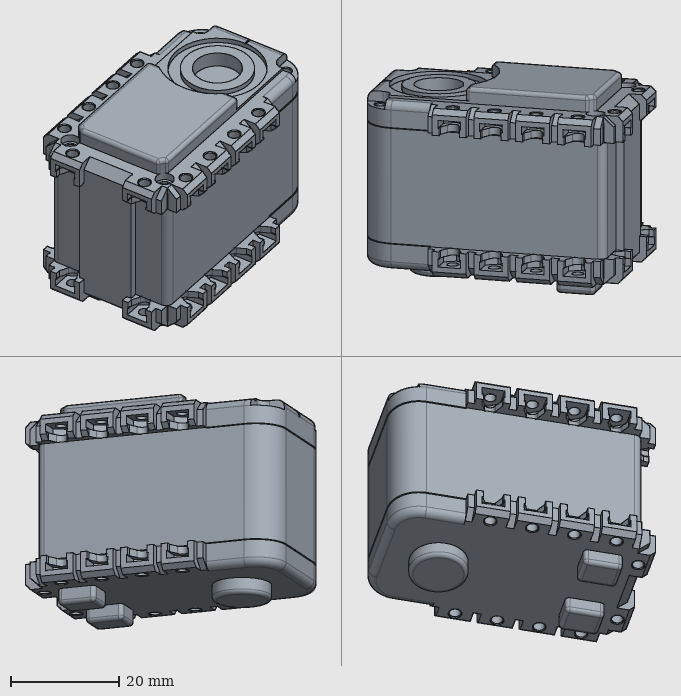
import cadquery as cq
import math


HALF_WIDTH = 13.0
BACK_Y = 11.5
FRONT_WALL_Y = -35.6
BACK_CORNER_R = 6.0
FRONT_CORNER_R = 1.5
COVER_EDGE_R = 1.5
COVER_Z = 16.0
COVER_INNER_Z = 11.1
SEAM_HEIGHT = 0.1
SEAM_DEPTH = 0.15

FLANGE_BACK_Y = -2.0
FLANGE_HALF_WIDTH = 14.5
FLANGE_CHAMFER_RUN = 2.0
FLANGE_CHAMFER_DROP = 1.8
FLANGE_CORNER_X = FLANGE_HALF_WIDTH - FLANGE_CHAMFER_RUN
FLANGE_FRONT_Y = -37.1
FLANGE_CORNER_Y = FLANGE_FRONT_Y + FLANGE_CHAMFER_RUN
PAD_HALF_WIDTH = 5.75

EAR_PITCH = 8.0
EAR_WIDTH = 6.5
EAR_CHAMFER = 1.0
EAR_REACH = 2.5
EAR_ROOT = 1.5
SIDE_EAR_COUNT = 4
FIRST_SIDE_EAR_Y = -6.5
SIDE_HOLE_X = 13.5
FRONT_HOLE_Y = -36.0
EAR_HOLE_D = 2.2
HOLE_CHAMFER = 0.175
NUT_FLATS = 4.3
NUT_FLOOR_Z = 14.0
NUT_SEAT_Z = 12.5
ENTRY_HALF_WIDTH = 1.95
ENTRY_TAPER_START = 1.45
ENTRY_THROAT_HALF = 0.95
ENTRY_THROAT = -0.45

RAISED_HALF_WIDTH = 10.0
RAISED_Z = 16.5
BLOCK_TOP_Z = 19.0
BLOCK_BACK_Y = -8.0
BLOCK_FRONT_Y = -32.65
BLOCK_EDGE_R = 0.8
BLOCK_CORNER_R = 0.6
BLOCK_AXLE_CLEARANCE_R = 11.2
NOTCH_WIDTH = 0.2
NOTCH_DEPTH = 0.15

HORN_RECESS_D = 18.3
HORN_RING_D = 13.7
HORN_BORE_D = 9.2
HORN_RECESS_DEPTH = 1.0
HORN_BORE_DEPTH = 3.0

SCREW_FLOOR_Z = 14.5
SCREW_HEAD_D = 3.5
SCREW_HOLE_D = 2.05
SCREW_HOLE_DEPTH = 3.0
FRONT_SCREW_X, FRONT_SCREW_Y = 10.5, -33.05
BACK_SCREW_X, BACK_SCREW_Y = 9.5, 8.5

BOSS_D = 11.0
FOOT_INNER_X = 4.0
FOOT_BACK_Y = -25.25
FOOT_EDGE_R = 0.8

SIDES = (-1, 1)


def box(x0, x1, y0, y1, z0, z1):
    return cq.Workplane("XY").box(x1 - x0, y1 - y0, z1 - z0, centered=False).translate((x0, y0, z0))


def cylinder(x, y, diameter, z0, z1):
    return cq.Workplane("XY", origin=(x, y, z0)).circle(diameter / 2).extrude(z1 - z0)


def chamfered_hole(x, y, diameter, z0, z1):
    """Cutter for a vertical hole with a small chamfer at its upper mouth."""
    mouth = (
        cq.Workplane("XY", origin=(x, y, z1 - HOLE_CHAMFER))
        .circle(diameter / 2)
        .workplane(offset=HOLE_CHAMFER)
        .circle(diameter / 2 + HOLE_CHAMFER)
        .loft()
    )
    return cylinder(x, y, diameter, z0, z1).union(mouth)


def case_prism(z0, z1, inset=0.0):
    """Case outline with round corners, optionally drawn in on every side."""
    half_width = HALF_WIDTH - inset
    prism = box(-half_width, half_width, FRONT_WALL_Y + inset, BACK_Y - inset, z0, z1)
    prism = prism.edges("|Z and >Y").fillet(BACK_CORNER_R - inset)
    return prism.edges("|Z and <Y").fillet(FRONT_CORNER_R - inset)


def case():
    """Main case with rounded covers, a raised panel on top and a strip up the front wall."""
    body = case_prism(-COVER_Z, COVER_Z).faces("<Z or >Z").edges().fillet(COVER_EDGE_R)
    raised = case_prism(0, RAISED_Z).faces(">Z").edges().fillet(COVER_EDGE_R)
    raised = raised.intersect(
        box(-RAISED_HALF_WIDTH, RAISED_HALF_WIDTH, -BLOCK_AXLE_CLEARANCE_R, BACK_Y, 0, RAISED_Z)
    )
    pad = box(
        -PAD_HALF_WIDTH, PAD_HALF_WIDTH, FLANGE_FRONT_Y, FRONT_WALL_Y + FRONT_CORNER_R,
        -COVER_INNER_Z, COVER_INNER_Z,
    )
    return body.union(raised).union(pad)


def seams():
    """Thin grooves around the back where the covers meet the middle of the case."""
    z1 = COVER_INNER_Z
    z0 = z1 - SEAM_HEIGHT
    ring = case_prism(z0, z1).cut(case_prism(z0, z1, SEAM_DEPTH))
    ring = ring.intersect(box(-HALF_WIDTH, HALF_WIDTH, FLANGE_BACK_Y, BACK_Y, z0, z1))
    return ring.union(ring.mirror("XY"))


def flange():
    """Upper flange: a side slab and a front slab with sloped outer edges."""
    slope_z = COVER_Z - FLANGE_CHAMFER_DROP
    side = (
        cq.Workplane("XZ", origin=(0, FLANGE_BACK_Y, 0))
        .moveTo(-FLANGE_HALF_WIDTH, COVER_INNER_Z)
        .lineTo(FLANGE_HALF_WIDTH, COVER_INNER_Z)
        .lineTo(FLANGE_HALF_WIDTH, slope_z)
        .lineTo(FLANGE_CORNER_X, COVER_Z)
        .lineTo(-FLANGE_CORNER_X, COVER_Z)
        .lineTo(-FLANGE_HALF_WIDTH, slope_z)
        .close()
        .extrude(FLANGE_BACK_Y - FLANGE_CORNER_Y)
    )
    front = (
        cq.Workplane("YZ", origin=(-FLANGE_CORNER_X, 0, 0))
        .moveTo(FLANGE_FRONT_Y, COVER_INNER_Z)
        .lineTo(FLANGE_FRONT_Y, slope_z)
        .lineTo(FLANGE_CORNER_Y, COVER_Z)
        .lineTo(FLANGE_BACK_Y, COVER_Z)
        .lineTo(FLANGE_BACK_Y, COVER_INNER_Z)
        .close()
        .extrude(2 * FLANGE_CORNER_X)
    )
    return side.union(front)


def ear_block(chamfer_inner):
    """Ear pointing along +X, with its hole centre at the origin."""
    ear = box(-EAR_ROOT, EAR_REACH, -EAR_WIDTH / 2, EAR_WIDTH / 2, COVER_INNER_Z, COVER_Z)
    ear = ear.edges(">X and >Z").chamfer(EAR_CHAMFER)
    if chamfer_inner:
        ear = ear.edges(">X and <Z").chamfer(EAR_CHAMFER)
    return ear


def ear_pocket():
    """Through hole, captive hexagonal nut seat and funnel entry, all open toward +X."""
    hole = chamfered_hole(0, 0, EAR_HOLE_D, COVER_INNER_Z, COVER_Z)
    nut = (
        cq.Workplane("XY", origin=(0, 0, NUT_SEAT_Z))
        .polygon(6, NUT_FLATS / math.cos(math.pi / 6))
        .extrude(NUT_FLOOR_Z - NUT_SEAT_Z)
    )
    nut_slot = box(0, EAR_REACH, -NUT_FLATS / 2, NUT_FLATS / 2, NUT_SEAT_Z, NUT_FLOOR_Z)
    entry = (
        cq.Workplane("XY", origin=(0, 0, COVER_INNER_Z))
        .moveTo(EAR_REACH, -ENTRY_HALF_WIDTH)
        .lineTo(EAR_REACH, ENTRY_HALF_WIDTH)
        .lineTo(ENTRY_TAPER_START, ENTRY_HALF_WIDTH)
        .lineTo(ENTRY_THROAT, ENTRY_THROAT_HALF)
        .lineTo(ENTRY_THROAT, -ENTRY_THROAT_HALF)
        .lineTo(ENTRY_TAPER_START, -ENTRY_HALF_WIDTH)
        .close()
        .extrude(NUT_SEAT_Z - COVER_INNER_Z)
    )
    return hole.union(nut).union(nut_slot).union(entry)


def ear_places():
    """X, Y and outward direction in degrees of every ear on one cover."""
    places = []
    for side in SIDES:
        for i in range(SIDE_EAR_COUNT):
            direction = 0 if side > 0 else 180
            places.append((side * SIDE_HOLE_X, FIRST_SIDE_EAR_Y - i * EAR_PITCH, direction))
        places.append((side * EAR_PITCH, FRONT_HOLE_Y, -90))
    return places


def placed(shape, place):
    x, y, direction = place
    return shape.rotate((0, 0, 0), (0, 0, 1), direction).translate((x, y, 0))


def top_block():
    """Raised cover block, hollowed at the front screws and cut back around the horn."""
    block = box(
        -RAISED_HALF_WIDTH, RAISED_HALF_WIDTH, BLOCK_FRONT_Y, BLOCK_BACK_Y, COVER_Z, BLOCK_TOP_Z
    )
    relief = cylinder(FRONT_SCREW_X, FRONT_SCREW_Y, SCREW_HEAD_D, COVER_Z, BLOCK_TOP_Z)
    block = block.cut(relief).cut(relief.mirror("YZ"))
    block = block.edges("|Z").fillet(BLOCK_CORNER_R)
    block = block.faces(">Z").edges().fillet(BLOCK_EDGE_R)
    return block.cut(cylinder(0, 0, 2 * BLOCK_AXLE_CLEARANCE_R, RAISED_Z, BLOCK_TOP_Z))


def horn_recess():
    """Annular recess around the horn ring, and the central bore."""
    floor_z = RAISED_Z - HORN_RECESS_DEPTH
    ring_gap = cylinder(0, 0, HORN_RECESS_D, floor_z, RAISED_Z)
    ring_gap = ring_gap.cut(cylinder(0, 0, HORN_RING_D, floor_z, RAISED_Z))
    return ring_gap.union(cylinder(0, 0, HORN_BORE_D, RAISED_Z - HORN_BORE_DEPTH, RAISED_Z))


def index_notch():
    """Hairline groove from the horn recess over the rounded back edge."""
    inner_r = COVER_EDGE_R - NOTCH_DEPTH
    arc_y = BACK_Y - COVER_EDGE_R
    arc_z = RAISED_Z - COVER_EDGE_R
    diagonal = inner_r * math.sqrt(0.5)
    return (
        cq.Workplane("YZ", origin=(-NOTCH_WIDTH / 2, 0, 0))
        .moveTo(HORN_RECESS_D / 2, arc_z + inner_r)
        .lineTo(arc_y, arc_z + inner_r)
        .threePointArc((arc_y + diagonal, arc_z + diagonal), (arc_y + inner_r, arc_z))
        .lineTo(BACK_Y, arc_z)
        .lineTo(BACK_Y, RAISED_Z)
        .lineTo(HORN_RECESS_D / 2, RAISED_Z)
        .close()
        .extrude(NOTCH_WIDTH)
    )


def screw_hole(x, y):
    """Blind screw hole sunk from the screw recess floor."""
    return chamfered_hole(x, y, SCREW_HOLE_D, SCREW_FLOOR_Z - SCREW_HOLE_DEPTH, SCREW_FLOOR_Z)


def back_screw_recess():
    """Step around the +X back screw, open to the side and to the back."""
    head_r = SCREW_HEAD_D / 2
    step = box(
        BACK_SCREW_X - head_r, HALF_WIDTH, BACK_SCREW_Y - head_r, BACK_Y, SCREW_FLOOR_Z, RAISED_Z
    )
    step = step.edges("|Z and <X and <Y").fillet(head_r)
    return step.union(screw_hole(BACK_SCREW_X, BACK_SCREW_Y))


def front_screw_recess():
    """Counterbore of the +X front screw."""
    head = cylinder(FRONT_SCREW_X, FRONT_SCREW_Y, SCREW_HEAD_D, SCREW_FLOOR_Z, COVER_Z)
    return head.union(screw_hole(FRONT_SCREW_X, FRONT_SCREW_Y))


def bottom_boss():
    boss = cylinder(0, 0, BOSS_D, -BLOCK_TOP_Z, -COVER_Z)
    return boss.faces("<Z").edges().fillet(FOOT_EDGE_R)


def bottom_foot():
    """Foot on the +X side of the bottom face."""
    foot = box(
        FOOT_INNER_X, RAISED_HALF_WIDTH, BLOCK_FRONT_Y, FOOT_BACK_Y, -BLOCK_TOP_Z, -COVER_Z
    )
    return foot.edges("|Z").fillet(FOOT_EDGE_R).faces("<Z").edges().fillet(FOOT_EDGE_R)


upper_flange = flange()
result = case().cut(seams()).union(upper_flange).union(upper_flange.mirror("XY"))
pocket = ear_pocket()
for place in ear_places():
    upper_ear = placed(ear_block(chamfer_inner=place[0] > 0), place)
    lower_ear = placed(ear_block(chamfer_inner=False), place).mirror("XY")
    result = result.union(upper_ear).union(lower_ear)
for place in ear_places():
    upper_pocket = placed(pocket, place)
    result = result.cut(upper_pocket).cut(upper_pocket.mirror("XY"))

for recess in (back_screw_recess(), front_screw_recess()):
    result = result.cut(recess).cut(recess.mirror("YZ"))

result = result.union(top_block()).union(bottom_boss())
result = result.cut(horn_recess()).cut(index_notch())
foot = bottom_foot()
result = result.union(foot).union(foot.mirror("YZ"))